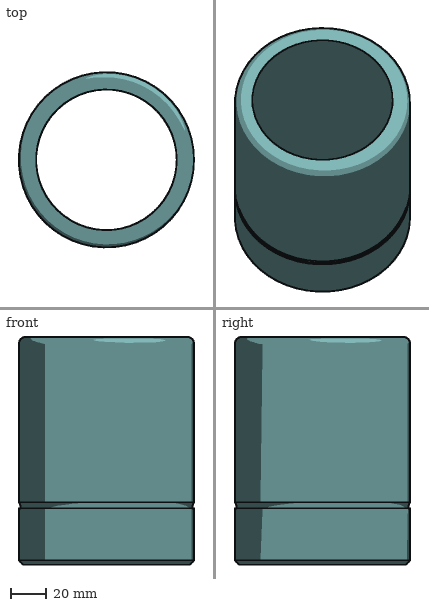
import cadquery as cq
import math

outer_diameter = 100.0
bore_diameter = 80.0
length = 130.0

top_fillet_radius = 4.0
bottom_chamfer = 2.5

groove_ledge_height = 32.2
groove_height = 3.5
groove_depth = 1.0

outer_radius = outer_diameter / 2
bore_radius = bore_diameter / 2
groove_floor_radius = outer_radius - groove_depth
groove_top_height = groove_ledge_height + groove_height


def make_sleeve():
    """Plain tube standing on Z = 0, with its outer rims rounded and chamfered."""
    body = cq.Workplane("XY").circle(outer_radius).extrude(length)
    body = body.faces(">Z").edges().fillet(top_fillet_radius)
    body = body.faces("<Z").edges().chamfer(bottom_chamfer)
    bore = cq.Workplane("XY").circle(bore_radius).extrude(length)
    return body.cut(bore)


def groove_arc_middle():
    """Middle point of the groove's arc, whose center is level with the ledge."""
    arc_radius = (groove_height**2 + groove_depth**2) / (2 * groove_depth)
    half_sweep = math.asin(groove_height / arc_radius) / 2
    middle_radius = groove_floor_radius + arc_radius * (1 - math.cos(half_sweep))
    middle_height = groove_ledge_height + arc_radius * math.sin(half_sweep)
    return middle_radius, middle_height


def make_groove_ring():
    """Ring to cut away: the groove's section revolved about Z."""
    section = (
        cq.Workplane("XZ")
        .moveTo(groove_floor_radius, groove_ledge_height)
        .threePointArc(groove_arc_middle(), (outer_radius, groove_top_height))
        .lineTo(outer_radius, groove_ledge_height)
        .close()
    )
    return section.revolve(360, (0, 0), (0, 1))


result = make_sleeve().cut(make_groove_ring())